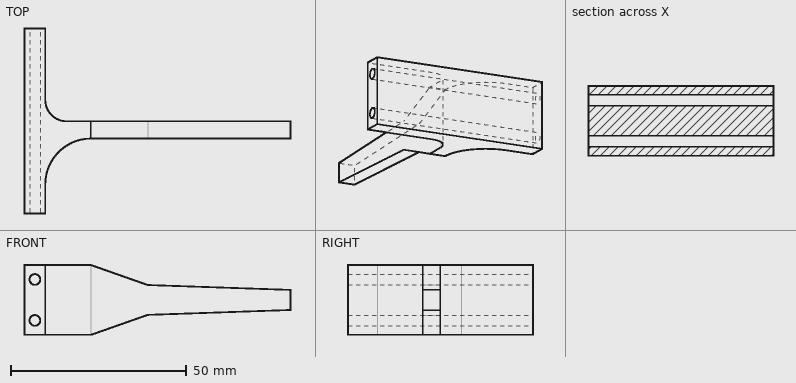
import cadquery as cq

plate_thickness = 6.0
plate_width = 52.9
height = 20.0
hole_diameter = 3.0
hole_spacing = 11.7

overall_length = 76.0
arm_thickness = 5.0
arm_front = 21.4
front_fillet = 13.0
back_fillet = 6.0
taper_length = 16.2
neck_height = 8.6
tip_height = 5.8

arm_back = arm_front + arm_thickness
taper_start = plate_thickness + front_fillet
taper_end = taper_start + taper_length


def make_plan_body():
    """T-shaped plan outline with rounded arm roots, at full height."""
    plate = cq.Workplane("XY").box(plate_thickness, plate_width, height, centered=(False, False, True))
    arm = (
        cq.Workplane("XY")
        .box(overall_length, arm_thickness, height, centered=(False, False, True))
        .translate((0, arm_front, 0))
    )
    body = plate.union(arm)
    body = body.edges(cq.NearestToPointSelector((plate_thickness, arm_front, 0))).fillet(front_fillet)
    return body.edges(cq.NearestToPointSelector((plate_thickness, arm_back, 0))).fillet(back_fillet)


def make_side_profile():
    """Side outline of the plate and the tapering arm, as wide as the plate."""
    upper_edge = [
        (0, height / 2),
        (taper_start, height / 2),
        (taper_end, neck_height / 2),
        (overall_length, tip_height / 2),
    ]
    lower_edge = [(x, -z) for x, z in reversed(upper_edge)]
    return cq.Workplane("XZ").polyline(upper_edge + lower_edge).close().extrude(-plate_width)


def make_mounting_holes():
    """Two holes running through the whole width of the plate, one above the other."""
    centres = [(plate_thickness / 2, side * hole_spacing / 2) for side in (-1, 1)]
    return cq.Workplane("XZ").pushPoints(centres).circle(hole_diameter / 2).extrude(-plate_width)


result = make_plan_body().intersect(make_side_profile()).cut(make_mounting_holes())